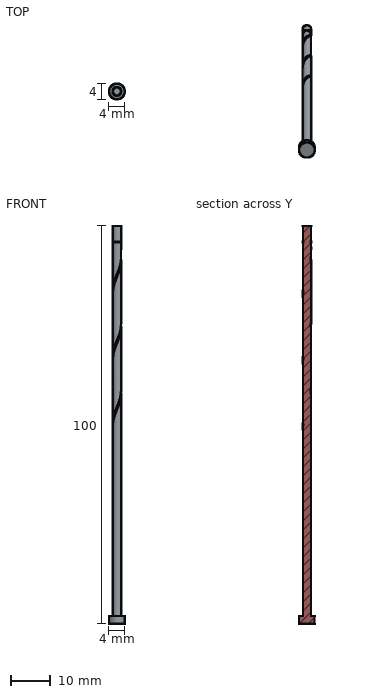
import cadquery as cq
import math

overall_length = 100.0
head_diameter = 4.0
head_radius = head_diameter / 2
head_height = 2.0
shaft_diameter = 2.2
shaft_radius = shaft_diameter / 2

groove_diameter = 0.3
groove_radius = groove_diameter / 2

tip_length = 4.0
ring_groove_z = overall_length - tip_length

spiral_length = 50.0
spiral_turns = 3
spiral_pitch = spiral_length / spiral_turns
spiral_bottom_z = ring_groove_z - groove_radius - spiral_length
spiral_start_angle = 90.0


def make_pin():
    """Headed pin with its ring groove, as one half profile turned about Z."""
    return (
        cq.Workplane("XZ")
        .lineTo(-head_radius, 0)
        .lineTo(-head_radius, head_height)
        .lineTo(-shaft_radius, head_height)
        .lineTo(-shaft_radius, ring_groove_z - groove_radius)
        .threePointArc(
            (-shaft_radius + groove_radius, ring_groove_z),
            (-shaft_radius, ring_groove_z + groove_radius),
        )
        .lineTo(-shaft_radius, overall_length)
        .lineTo(0, overall_length)
        .close()
        .revolve(360, (0, 0), (0, 1))
    )


def make_spiral_cutter():
    """Right-handed coil of round section, centred on the shaft surface."""
    path = cq.Wire.makeHelix(spiral_pitch, spiral_length, shaft_radius)
    start_direction = (0, 2 * math.pi * shaft_radius, spiral_pitch)
    section_plane = cq.Plane(origin=(shaft_radius, 0, 0), xDir=(1, 0, 0), normal=start_direction)
    coil = (
        cq.Workplane(section_plane)
        .circle(groove_radius)
        .sweep(cq.Workplane(obj=path), isFrenet=True)
    )
    return coil.rotate((0, 0, 0), (0, 0, 1), spiral_start_angle).translate((0, 0, spiral_bottom_z))


result = make_pin().cut(make_spiral_cutter())